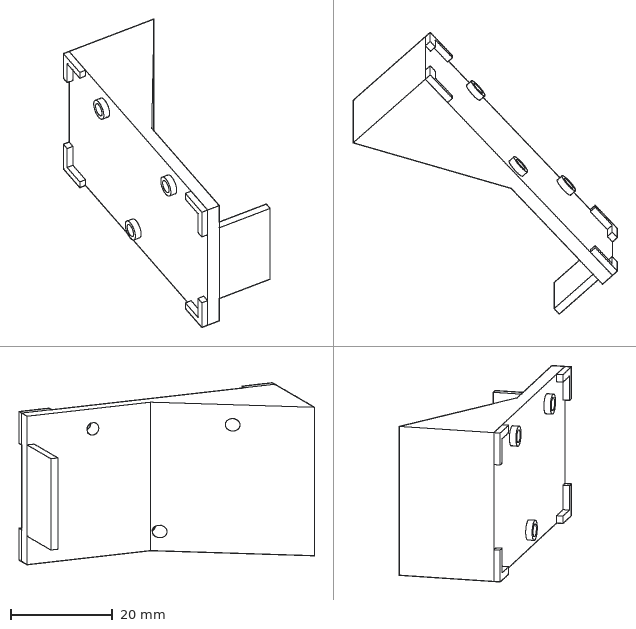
import cadquery as cq

LENGTH = 54.5
DEPTH = 20.6
HEIGHT = 30.25

STANDOFF = 1.3
PLATE_THICKNESS = 2.65
WEDGE_LENGTH = 27.9
PLATE_FRONT = STANDOFF
PLATE_BACK = PLATE_FRONT + PLATE_THICKNESS

BOSS_DIAMETER = 4.0
HOLE_DIAMETER = 2.5
BOSS_UPPER_Z = 26.15
BOSS_LOWER_Z = 4.0
BOSS_CENTERS = [(13.95, BOSS_UPPER_Z), (40.35, BOSS_UPPER_Z), (26.4, BOSS_LOWER_Z)]

BRACKET_LEG = 6.5
BRACKET_WIDTH = 1.5

WALL_THICKNESS = 1.5
WALL_REACH = 11.55
WALL_INSET = 5.85


def cylinders_along_y(diameter, length):
    """Cylinders at the boss centres, running back from the front plane Y = 0."""
    front_plane = cq.Workplane("XZ")
    return front_plane.pushPoints(BOSS_CENTERS).circle(diameter / 2).extrude(-length)


def make_base():
    """Wedge and plate in one piece, with its bosses and through holes."""
    outline = [
        (0, PLATE_FRONT),
        (LENGTH, PLATE_FRONT),
        (LENGTH, PLATE_BACK),
        (WEDGE_LENGTH, PLATE_BACK),
        (0, DEPTH),
    ]
    body = cq.Workplane("XY").polyline(outline).close().extrude(HEIGHT)
    bosses = cylinders_along_y(BOSS_DIAMETER, PLATE_BACK)
    holes = cylinders_along_y(HOLE_DIAMETER, DEPTH)
    return body.union(bosses).cut(holes)


def make_bracket(corner_x, corner_z, x_direction, z_direction):
    """L-shaped bracket whose legs run from its corner in the given directions."""
    outline = [
        (0, 0),
        (BRACKET_LEG, 0),
        (BRACKET_LEG, BRACKET_WIDTH),
        (BRACKET_WIDTH, BRACKET_WIDTH),
        (BRACKET_WIDTH, BRACKET_LEG),
        (0, BRACKET_LEG),
    ]
    points = [(corner_x + x_direction * x, corner_z + z_direction * z) for x, z in outline]
    return cq.Workplane("XZ").polyline(points).close().extrude(-STANDOFF)


def make_wall():
    """Upright wall standing on the back of the plate, flush with its +X end."""
    wall_height = HEIGHT - 2 * WALL_INSET
    wall = cq.Workplane("XY").box(WALL_THICKNESS, WALL_REACH, wall_height, centered=False)
    return wall.translate((LENGTH - WALL_THICKNESS, PLATE_BACK, WALL_INSET))


base = make_base()
wall = make_wall()
brackets = []
for corner_x, x_direction in [(0, 1), (LENGTH, -1)]:
    for corner_z, z_direction in [(0, 1), (HEIGHT, -1)]:
        brackets.append(make_bracket(corner_x, corner_z, x_direction, z_direction))

result = cq.Compound.makeCompound(
    [base.val(), wall.val(), *[bracket.val() for bracket in brackets]]
)